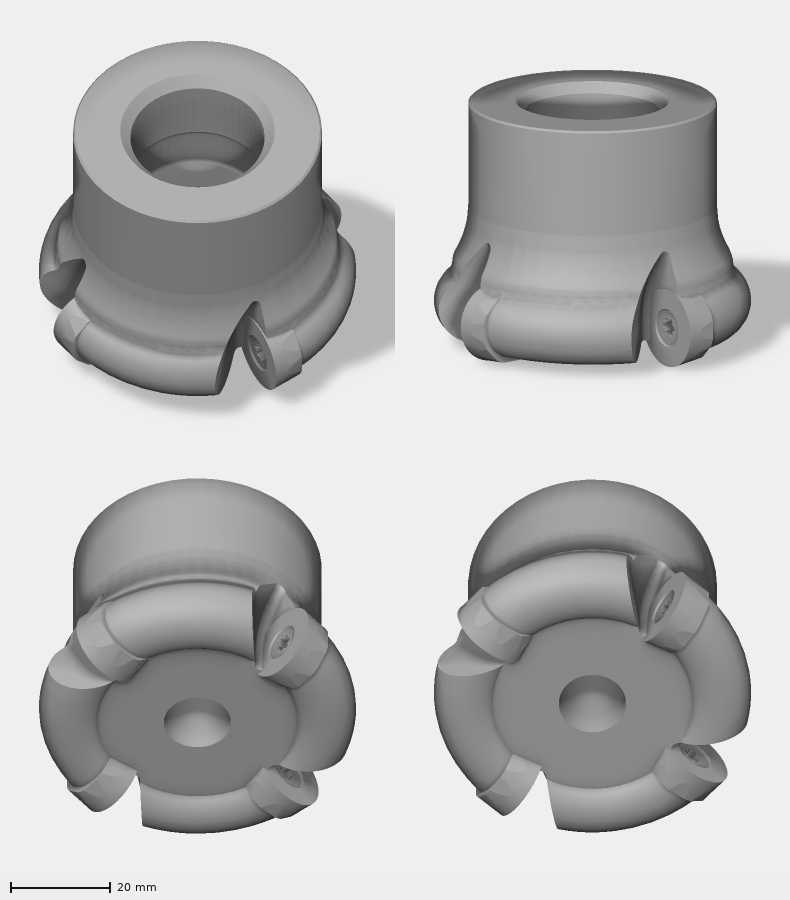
import cadquery as cq
import math

cutting_diameter = 66.0
height = 50.0
insert_count = 4

insert_radius = 8.0
insert_thickness = 6.4
insert_relief_angle = 7.0
flat_count = 8
flat_relief_angle = 11.0
flat_back_distance = 6.9
insert_center_x = cutting_diameter / 2 - insert_radius
insert_center_z = insert_radius

seat_rim_diameter = 7.8
seat_step_diameter = 7.1
head_diameter = 5.0
seat_step_depth = 0.4
head_depth = 0.5
socket_core_diameter = 2.9
socket_tip_diameter = 4.0
socket_lobe_diameter = 1.0
socket_lobe_count = 6
socket_depth = 1.3

shank_radius = 25.0
shank_edge_chamfer = 0.4
shank_bottom_z = 28.45
flare_radius = 20.0
bulge_radius = 5.0
waist_z = 16.1
groove_radius = 3.0
rim_radius = 6.65
rim_center_z = 8.6
bottom_z = 4.3

bolt_hole_diameter = 13.5
bore_diameter = 27.0
bore_length = 14.85
relief_diameter = 27.5
relief_taper_length = 0.65
bore_depth = 23.75
bore_mouth_chamfer = 2.05
floor_fillet = 0.8

flute_wall_y = 0.3
flute_floor_angle = 45.0
flute_floor_distance = 12.3
flute_bend_z = 9.1
flute_bend_radius = 26.25
flute_fillet = 1.3
flute_length = 79.2

station_angles = [i * 360.0 / insert_count for i in range(insert_count)]


def point_between(start, end, distance):
    """Return the point at a distance from start on the way to end."""
    share = distance / math.dist(start, end)
    return tuple(a + (b - a) * share for a, b in zip(start, end))


def point_on_circle(center, radius, angle):
    """Return the point of a circle at an angle in degrees."""
    turn = math.radians(angle)
    return (center[0] + radius * math.cos(turn), center[1] + radius * math.sin(turn))


def arc_middle(center, radius, start, end):
    """Return the middle point of the short arc from start to end."""
    chord_middle = tuple((a + b) / 2 for a, b in zip(start, end))
    return point_between(center, chord_middle, radius)


def make_holder_blank():
    """Revolve the outside, a chain of arcs that are tangent to each other."""
    flare_center = (shank_radius + flare_radius, shank_bottom_z)
    flare_to_bulge = flare_radius + bulge_radius
    bulge_center_x = flare_center[0] - math.sqrt(flare_to_bulge**2 - (shank_bottom_z - waist_z) ** 2)
    bulge_center = (bulge_center_x, waist_z)
    waist = (bulge_center_x + bulge_radius, waist_z)
    groove_center = (waist[0] + groove_radius, waist_z)
    groove_to_rim = groove_radius + rim_radius
    rim_center_x = groove_center[0] - math.sqrt(groove_to_rim**2 - (waist_z - rim_center_z) ** 2)
    rim_center = (rim_center_x, rim_center_z)

    shank_end = (shank_radius, shank_bottom_z)
    flare_end = point_between(flare_center, bulge_center, flare_radius)
    groove_end = point_between(groove_center, rim_center, groove_radius)
    rim_bottom = (rim_center_x, rim_center_z - rim_radius)
    rim_outermost = (rim_center_x + rim_radius, rim_center_z)
    rim_end_x = rim_center_x - math.sqrt(rim_radius**2 - (rim_center_z - bottom_z) ** 2)
    rim_end = (rim_end_x, bottom_z)

    return (
        cq.Workplane("XZ")
        .moveTo(0, height)
        .lineTo(shank_radius - shank_edge_chamfer, height)
        .lineTo(shank_radius, height - shank_edge_chamfer)
        .lineTo(*shank_end)
        .threePointArc(arc_middle(flare_center, flare_radius, shank_end, flare_end), flare_end)
        .threePointArc(arc_middle(bulge_center, bulge_radius, flare_end, waist), waist)
        .threePointArc(arc_middle(groove_center, groove_radius, waist, groove_end), groove_end)
        .threePointArc(rim_outermost, rim_bottom)
        .threePointArc(arc_middle(rim_center, rim_radius, rim_bottom, rim_end), rim_end)
        .lineTo(0, bottom_z)
        .close()
        .revolve(360, (0, 0, 0), (0, 1, 0))
    )


def make_bore():
    """Return the stepped bore as a solid: chamfered mouth, bore, tapered step, relief and bolt hole."""
    bore_radius = bore_diameter / 2
    relief_radius = relief_diameter / 2
    floor_z = height - bore_depth
    mouth = (
        cq.Workplane("XY", origin=(0, 0, height - bore_mouth_chamfer))
        .circle(bore_radius)
        .workplane(offset=bore_mouth_chamfer)
        .circle(bore_radius + bore_mouth_chamfer)
        .loft()
    )
    bore = cq.Workplane("XY", origin=(0, 0, height)).circle(bore_radius).extrude(-bore_length)
    relief = (
        cq.Workplane("XY", origin=(0, 0, floor_z))
        .circle(relief_radius)
        .extrude(bore_depth - bore_length - relief_taper_length)
        .faces("<Z")
        .edges()
        .fillet(floor_fillet)
    )
    relief_taper = (
        cq.Workplane("XY", origin=(0, 0, height - bore_length))
        .circle(bore_radius)
        .workplane(offset=-relief_taper_length)
        .circle(relief_radius)
        .loft()
    )
    bolt_hole = cq.Workplane("XY").circle(bolt_hole_diameter / 2).extrude(height)
    return bore.union(mouth).union(relief_taper).union(relief).union(bolt_hole)


def make_flute():
    """Return the chip flute of the +X station as a solid: a flat wall and a floor that bends outward."""
    floor_normal = point_on_circle((0, 0), 1, flute_floor_angle)
    sweep_plane = cq.Plane(
        origin=(0, 0, 0),
        xDir=(floor_normal[0], floor_normal[1], 0),
        normal=(floor_normal[1], -floor_normal[0], 0),
    )
    bend_center = (flute_floor_distance + flute_bend_radius, flute_bend_z)
    bend_middle = point_on_circle(bend_center, flute_bend_radius, 135)
    bend_end = point_on_circle(bend_center, flute_bend_radius, 90)
    swept_floor = (
        cq.Workplane(sweep_plane)
        .moveTo(flute_floor_distance, 0)
        .lineTo(flute_floor_distance, flute_bend_z)
        .threePointArc(bend_middle, bend_end)
        .lineTo(bend_end[0], 0)
        .close()
        .extrude(flute_length / 2, both=True)
    )
    open_side = (
        cq.Workplane("XY")
        .box(flute_length, flute_length, flute_length, centered=(False, False, True))
        .translate((0, flute_wall_y - flute_length, 0))
    )
    root_x = flute_floor_distance * math.sqrt(2) - flute_wall_y
    root = cq.selectors.NearestToPointSelector((root_x, flute_wall_y, flute_bend_z / 2))
    flute = swept_floor.intersect(open_side)
    return flute.edges(root).fillet(flute_fillet)


def insert_face_plane():
    """Return the plane of the +X insert's face, with its normal into the insert."""
    return cq.Plane(
        origin=(insert_center_x, 0, insert_center_z), xDir=(1, 0, 0), normal=(0, 1, 0)
    )


def make_insert_blank():
    """Return the +X insert without its screw seat: a cone frustum with flats around its back."""
    face_plane = insert_face_plane()
    flat_front_distance = flat_back_distance + insert_thickness * math.tan(math.radians(flat_relief_angle))
    cone = (
        cq.Workplane(face_plane)
        .circle(insert_radius)
        .extrude(insert_thickness, taper=insert_relief_angle)
    )
    flats = (
        cq.Workplane(face_plane)
        .polygon(flat_count, 2 * flat_front_distance, circumscribed=True)
        .extrude(insert_thickness, taper=flat_relief_angle)
    )
    return cone.intersect(flats)


def make_screw_recess():
    """Return the recess in the insert face as a solid: stepped cone seat and six-lobed socket."""
    face_plane = insert_face_plane()
    seat = (
        cq.Workplane("XY")
        .moveTo(0, 0)
        .lineTo(seat_rim_diameter / 2, 0)
        .lineTo(seat_step_diameter / 2, seat_step_depth)
        .lineTo(head_diameter / 2, head_depth)
        .lineTo(0, head_depth)
        .close()
        .revolve(360, (0, 0, 0), (0, 1, 0))
        .translate((insert_center_x, 0, insert_center_z))
    )
    socket_length = head_depth + socket_depth
    core = cq.Workplane(face_plane).circle(socket_core_diameter / 2).extrude(socket_length)
    lobes = (
        cq.Workplane(face_plane)
        .polarArray((socket_tip_diameter - socket_lobe_diameter) / 2, 0, 360, socket_lobe_count)
        .circle(socket_lobe_diameter / 2)
        .extrude(socket_length)
    )
    return seat.union(core).union(lobes)


def at_station(shape, angle):
    """Return a copy of a +X station shape turned about the cutter axis."""
    return shape.rotate((0, 0, 0), (0, 0, 1), angle)


def make_holder():
    """Cut the bore, the flutes and the insert pockets into the blank."""
    holder = make_holder_blank().cut(make_bore())
    flute = make_flute()
    pocket = make_insert_blank()
    for angle in station_angles:
        holder = holder.cut(at_station(flute, angle)).cut(at_station(pocket, angle))
    return holder


def make_insert(angle):
    """Return the insert of one station."""
    insert = make_insert_blank().cut(make_screw_recess())
    return at_station(insert, angle)


holder = make_holder()
inserts = [make_insert(angle) for angle in station_angles]

result = cq.Compound.makeCompound([holder.solids().val(), *[insert.solids().val() for insert in inserts]])